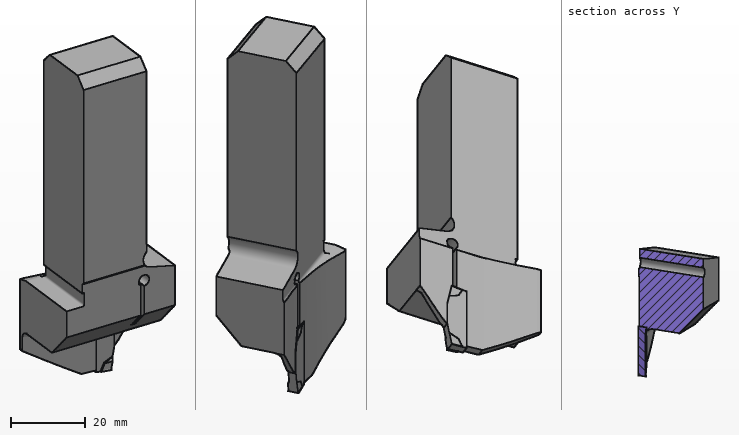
import cadquery as cq
import math


shank_side = 20.0
top_z = 101.8
top_chamfer = 3.1
relief = 0.6
relief_top_z = 40.0
front_relief_top_z = 36.6

head_left_x = -4.1
head_right_x = shank_side - relief
head_front_y = -5.0
head_back_y = 29.4
head_bottom_z = 16.8
corner_x = 12.0
corner_z = 24.7
ledge_z = 32.7
ledge_left_z = 31.9
ledge_slope = 15.0
left_fillet = 1.2
fold_fillet = 2.3
front_fillet = 0.6
back_top_z = 36.7
back_slope = 13.0
undercut_radius = 3.1
undercut_depth = 1.0

outer_peak_x = -0.2
outer_peak_y = 21.9
outer_radius = 84.5
front_flat_y = -3.8
back_flat_y = 27.3
inner_peak_x = 1.8
inner_peak_y = 17.8
inner_radius = 59.0
blade_fillet = 2.0
blade_overlap = 2.0
blade_bottom_z = 0.9
blade_front_z = 10.6
blade_bottom_front_y = 11.0
jaw_tip_y = 21.3
jaw_tip_z = 6.7
jaw_bend_y = 22.8
jaw_bend_z = 8.2

slot_hole_radius = 1.6
slot_hole_y = 19.5
slot_hole_z = 35.0
slot_front_y = 18.4
slot_width = 1.1

insert_length = 20.1
insert_front_y = 15.5
insert_edge_y = 20.0
insert_back_y = 21.3
insert_flat_z = 6.6
insert_relief = 0.3
insert_left_x = -0.4
insert_right_x = inner_peak_x
tip_centre_x = 0.9
edge_width = 3.1
tip_width = 2.7
edge_land = 0.6
tip_front_y = 16.8
tip_corner_y = 17.9
tip_corner_z = 2.5
tip_top_z = 3.8


def arc_x(peak_x, peak_y, radius, y):
    """X of a circle at Y, where the circle's rightmost point is the peak."""
    return peak_x - radius + math.sqrt(radius**2 - (y - peak_y) ** 2)


def outer_x(y):
    return arc_x(outer_peak_x, outer_peak_y, outer_radius, y)


def inner_x(y):
    return arc_x(inner_peak_x, inner_peak_y, inner_radius, y)


def along_y(outline):
    """Extrude an XZ outline over the full depth of the part."""
    return outline.extrude(head_front_y - head_back_y)


def front_solid():
    """Shank and head, without the blade, as seen along Y."""
    slope = math.radians(ledge_slope)
    centre_x = -left_fillet
    line_z = ledge_left_z + (centre_x - head_left_x) * math.tan(slope)
    centre_z = line_z + left_fillet / math.cos(slope)
    middle = math.radians(ledge_slope / 2 - 45)
    outline = (
        cq.Workplane("XZ", origin=(0, head_front_y, 0))
        .moveTo(head_left_x, head_bottom_z)
        .lineTo(corner_x, head_bottom_z)
        .lineTo(head_right_x, corner_z)
        .lineTo(head_right_x, relief_top_z - relief)
        .lineTo(shank_side, relief_top_z)
        .lineTo(shank_side, top_z - top_chamfer)
        .lineTo(shank_side - top_chamfer, top_z)
        .lineTo(top_chamfer, top_z)
        .lineTo(0, top_z - top_chamfer)
        .lineTo(0, centre_z)
        .threePointArc(
            (centre_x + left_fillet * math.cos(middle), centre_z + left_fillet * math.sin(middle)),
            (centre_x + left_fillet * math.sin(slope), centre_z - left_fillet * math.cos(slope)),
        )
        .lineTo(head_left_x, ledge_left_z)
        .close()
    )
    return along_y(outline)


def side_solid():
    """Shank, head and blade as seen along X."""
    slope = math.radians(back_slope)
    centre_y = shank_side - undercut_depth + undercut_radius
    line_z = back_top_z + (head_back_y - centre_y) * math.tan(slope)
    centre_z = line_z + undercut_radius / math.cos(slope)
    exit_rise = math.sqrt(undercut_radius**2 - (centre_y - shank_side) ** 2)
    outline = (
        cq.Workplane("YZ", origin=(head_left_x, 0, 0))
        .moveTo(head_front_y, blade_front_z)
        .lineTo(blade_bottom_front_y, blade_bottom_z)
        .lineTo(insert_front_y, blade_bottom_z)
        .lineTo(insert_front_y, jaw_tip_z)
        .lineTo(jaw_tip_y, jaw_tip_z)
        .lineTo(jaw_bend_y, jaw_bend_z)
        .lineTo(head_back_y, head_bottom_z)
        .lineTo(head_back_y, back_top_z)
        .lineTo(
            centre_y - undercut_radius * math.sin(slope),
            centre_z - undercut_radius * math.cos(slope),
        )
        .threePointArc(
            (centre_y - undercut_radius, centre_z),
            (shank_side, centre_z + exit_rise),
        )
        .lineTo(shank_side, top_z)
        .lineTo(0, top_z)
        .lineTo(0, front_relief_top_z)
        .lineTo(relief, front_relief_top_z)
        .lineTo(relief, ledge_z + front_fillet)
        .radiusArc((relief - front_fillet, ledge_z), front_fillet)
        .lineTo(head_front_y, ledge_z)
        .close()
    )
    return outline.extrude(shank_side - head_left_x)


def left_face_path(start_x, start_y):
    """XY outline started at a front point and carried along the curved left face to the back."""
    middle_y = (front_flat_y + back_flat_y) / 2
    return (
        cq.Workplane("XY")
        .moveTo(start_x, start_y)
        .lineTo(head_left_x, head_front_y)
        .lineTo(head_left_x, front_flat_y)
        .threePointArc((outer_x(middle_y), middle_y), (outer_x(back_flat_y), back_flat_y))
        .lineTo(outer_x(back_flat_y), head_back_y)
    )


def blade():
    """Tall curved wall between the left face and the inner arc."""
    middle_y = (head_front_y + head_back_y) / 2
    return (
        left_face_path(inner_x(head_front_y), head_front_y)
        .lineTo(inner_x(head_back_y), head_back_y)
        .threePointArc((inner_x(middle_y), middle_y), (inner_x(head_front_y), head_front_y))
        .close()
        .extrude(head_bottom_z + blade_overlap)
    )


def left_clearance():
    """Space to the left of the curved left face."""
    outside_x = 2 * head_left_x
    return (
        left_face_path(outside_x, head_front_y)
        .lineTo(outside_x, head_back_y)
        .close()
        .extrude(top_z)
    )


def fold_rounding():
    """Sliver outside the rounded fold where the level front ledge meets the sloping left ledge."""
    slope = math.radians(ledge_slope)
    fold_x = head_left_x + (ledge_z - ledge_left_z) / math.tan(slope)
    reach = fold_fillet * math.tan(slope / 2)
    return (
        cq.Workplane("XZ", origin=(0, head_front_y, 0))
        .moveTo(fold_x + reach, ledge_z)
        .radiusArc((fold_x - reach * math.cos(slope), ledge_z - reach * math.sin(slope)), -fold_fillet)
        .lineTo(fold_x, ledge_z)
        .close()
        .extrude(head_front_y - relief + front_fillet)
    )


def clamping_slot():
    """Cross hole with a thin slot running down from it to the insert."""
    across = shank_side - head_left_x
    workplane = cq.Workplane("YZ", origin=(head_left_x, 0, 0))
    hole = workplane.center(slot_hole_y, slot_hole_z).circle(slot_hole_radius).extrude(across)
    slot = (
        workplane.moveTo(slot_front_y, insert_length - insert_relief)
        .lineTo(slot_front_y + slot_width, insert_length - insert_relief)
        .lineTo(slot_front_y + slot_width, slot_hole_z)
        .lineTo(slot_front_y, slot_hole_z)
        .close()
        .extrude(across)
    )
    return hole.union(slot)


def make_holder(insert):
    """Shank, head and blade, with a pocket for the insert that is open on the left."""
    body = front_solid().cut(left_clearance()).union(blade())
    body = body.edges(
        cq.selectors.BoxSelector(
            (inner_x(head_front_y), head_front_y, head_bottom_z - blade_fillet / 2),
            (inner_peak_x + blade_fillet / 2, head_back_y, head_bottom_z + blade_fillet / 2),
        )
    ).fillet(blade_fillet)
    body = body.intersect(side_solid()).cut(fold_rounding()).cut(clamping_slot())
    return body.cut(insert_bar(head_left_x)).cut(insert)


def rake_y(z):
    """Y of the sloping rake at height Z above the lower cutting edge."""
    return insert_edge_y + (insert_back_y - insert_edge_y) * z / insert_flat_z


def insert_bar(left_x):
    """Plain bar of the insert, from the given left side to its right side."""
    return (
        cq.Workplane("YZ", origin=(left_x, 0, 0))
        .moveTo(insert_front_y, insert_relief)
        .lineTo(insert_edge_y, 0)
        .lineTo(insert_back_y, insert_flat_z)
        .lineTo(insert_back_y, insert_length - insert_flat_z)
        .lineTo(insert_edge_y, insert_length)
        .lineTo(insert_front_y, insert_length - insert_relief)
        .close()
        .extrude(insert_right_x - left_x)
    )


def lower_tip():
    """Widened cutting tip at the lower end of the insert."""
    side_outline = (
        cq.Workplane("YZ", origin=(tip_centre_x - edge_width / 2, 0, 0))
        .moveTo(insert_edge_y, 0)
        .lineTo(rake_y(tip_top_z), tip_top_z)
        .lineTo(tip_corner_y, tip_corner_z)
        .lineTo(tip_front_y, insert_relief)
        .close()
        .extrude(edge_width)
    )
    width_outline = (
        cq.Workplane("XZ", origin=(0, head_front_y, 0))
        .moveTo(tip_centre_x - edge_width / 2, 0)
        .lineTo(tip_centre_x + edge_width / 2, 0)
        .lineTo(tip_centre_x + tip_width / 2, edge_land)
        .lineTo(tip_centre_x + tip_width / 2, tip_corner_z)
        .lineTo(insert_right_x, tip_top_z)
        .lineTo(insert_left_x, tip_top_z)
        .lineTo(tip_centre_x - tip_width / 2, tip_corner_z)
        .lineTo(tip_centre_x - tip_width / 2, edge_land)
        .close()
    )
    return along_y(width_outline).intersect(side_outline)


def make_insert():
    lower = lower_tip()
    upper = lower.mirror("XY", (0, 0, insert_length / 2))
    return insert_bar(insert_left_x).union(lower).union(upper)


insert = make_insert()
holder = make_holder(insert)
result = cq.Compound.makeCompound([holder.val(), insert.val()])